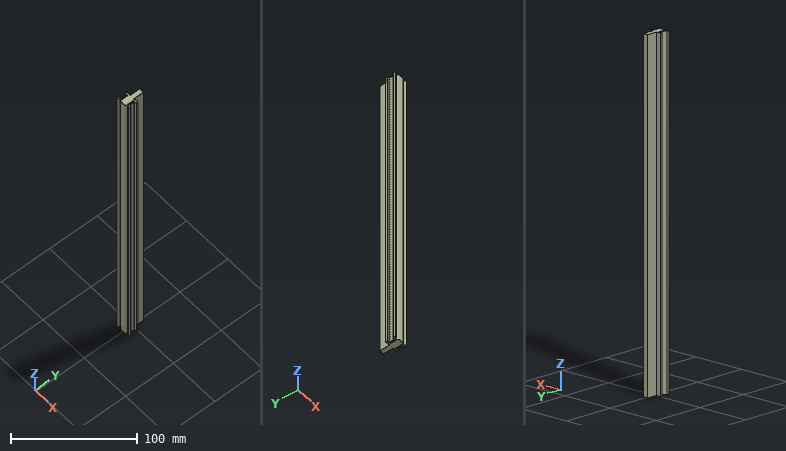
import cadquery as cq
import math

length = 300.0
width = 14.0
depth = 19.8

fin_width = 4.8
core_width = 7.0
core_corner_radius = 1.5

flange_top = 10.0
flange_thickness = 1.8

leg_gap = 0.5
leg_thickness = 1.0
flare_top = 5.0
foot_top = 2.5
foot_inner_top = 3.3
foot_width = 1.8
foot_inner_height = 1.8
foot_corner_radius = 0.5

underside = -depth / 2
flange_upper = underside + flange_top
flange_lower = flange_upper - flange_thickness
half_width = width / 2


def block(block_width, y_low, y_high):
    """Full-length block centred on the symmetry plane."""
    return (
        cq.Workplane("XY")
        .box(block_width, y_high - y_low, length, centered=(True, False, True))
        .translate((0, y_low, 0))
    )


def make_leg():
    """Leg on the +X side, hanging from the flange and ending in a flared foot."""
    inner_x = core_width / 2 + leg_gap
    outer_x = inner_x + leg_thickness
    foot_inner_x = half_width - foot_width
    flare_run = half_width - outer_x
    flare_drop = flare_top - foot_top
    bend = 1 - math.sqrt(0.5)
    flare_middle = (
        outer_x + flare_run * bend,
        underside + foot_top + flare_drop * bend,
    )
    leg = (
        cq.Workplane("XY")
        .workplane(offset=-length / 2)
        .moveTo(inner_x, flange_upper)
        .lineTo(outer_x, flange_upper)
        .lineTo(outer_x, underside + flare_top)
        .threePointArc(flare_middle, (half_width, underside + foot_top))
        .lineTo(half_width, underside)
        .lineTo(foot_inner_x, underside)
        .lineTo(foot_inner_x, underside + foot_inner_height)
        .lineTo(inner_x, underside + foot_inner_top)
        .close()
        .extrude(length)
    )
    foot_corner = cq.selectors.NearestToPointSelector((foot_inner_x, underside, 0))
    return leg.edges("|Z").edges(foot_corner).fillet(foot_corner_radius)


fin = block(fin_width, flange_lower, depth / 2)
core = block(core_width, underside, flange_upper)
core = core.edges("|Z and <Y").fillet(core_corner_radius)
flange = block(width, flange_lower, flange_upper)
leg = make_leg()

result = core.union(fin).union(flange).union(leg).union(leg.mirror("YZ"))